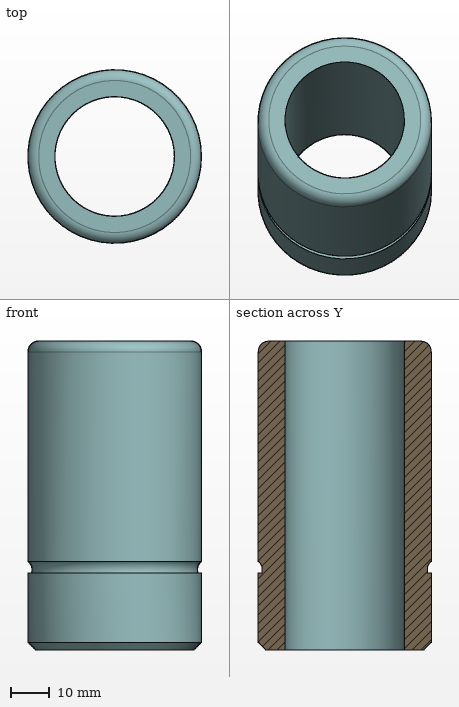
import cadquery as cq
import math

length = 80.0
outer_radius = 22.5
bore_radius = 15.4
top_fillet = 2.8
bottom_chamfer = 2.0

groove_bottom = 20.0
groove_height = 3.0
groove_depth = 1.0
deepest_height = 0.8


def make_sleeve():
    body = cq.Workplane("XY").circle(outer_radius).extrude(length)
    body = body.faces(">Z").edges().fillet(top_fillet)
    body = body.faces("<Z").edges().chamfer(bottom_chamfer)
    return body.cut(cq.Workplane("XY").circle(bore_radius).extrude(length))


def make_groove_cutter():
    half_chord = groove_height - deepest_height
    arc_radius = (half_chord**2 + groove_depth**2) / (2 * groove_depth)
    root_radius = outer_radius - groove_depth
    arc_center = root_radius + arc_radius
    shoulder_radius = arc_center - math.sqrt(arc_radius**2 - deepest_height**2)
    groove_top = groove_bottom + groove_height
    rim = arc_center
    return (
        cq.Workplane("XZ")
        .moveTo(rim, groove_bottom)
        .lineTo(shoulder_radius, groove_bottom)
        .threePointArc((root_radius, groove_bottom + deepest_height), (outer_radius, groove_top))
        .lineTo(rim, groove_top)
        .close()
        .revolve(360, (0, 0, 0), (0, 1, 0))
    )


result = make_sleeve().cut(make_groove_cutter())